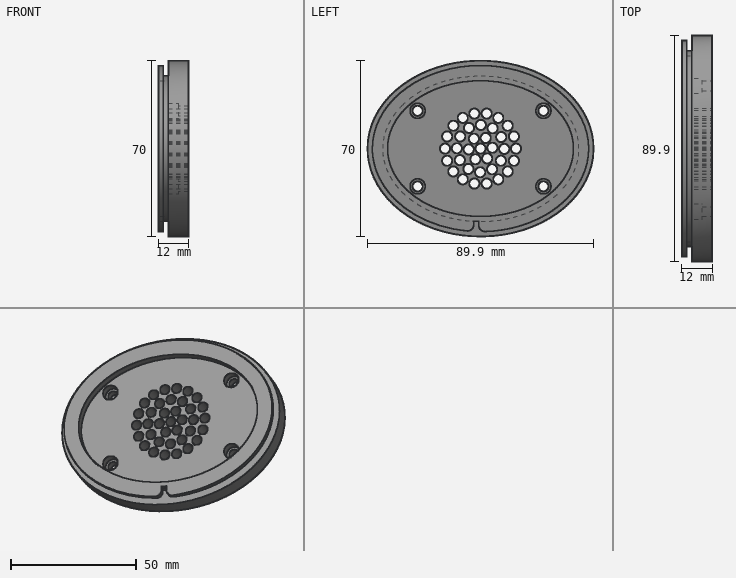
import cadquery as cq
import math

body_width = 89.9
body_height = 70.0

flange_inset = 2.0
neck_inset = 6.0
pocket_inset = 8.0

flange_thickness = 2.0
groove_width = 2.0
body_thickness = 8.0
total_thickness = flange_thickness + groove_width + body_thickness
pocket_depth = 4.0

screw_diameter = 4.0
counterbore_diameter = 6.0
counterbore_depth = 4.0
screw_spacing_y = 50.0
screw_spacing_z = 30.0

vent_diameter = 4.0
vent_pitch = 4.7
vent_rings = [
    (1, 0, 0),
    (6, vent_pitch, -4),
    (12, 2 * vent_pitch, 0.8),
    (18, 3 * vent_pitch, 0),
]

notch_width = 2.0
notch_center_y = 1.7
notch_top_z = -28.8
notch_mouth_radius = 2.5


def elliptic_disc(inset, start_x, thickness):
    """Disc whose outline is the body ellipse moved inward by inset."""
    return (
        cq.Workplane("YZ", origin=(start_x, 0, 0))
        .ellipse(body_width / 2 - inset, body_height / 2 - inset)
        .extrude(thickness)
    )


def holes(points, diameter, start_x, depth):
    """Cylinders along X used to cut holes at the given (Y, Z) points."""
    return (
        cq.Workplane("YZ", origin=(start_x, 0, 0))
        .pushPoints(points)
        .circle(diameter / 2)
        .extrude(depth)
    )


def vent_points():
    points = []
    for count, radius, start_angle in vent_rings:
        for index in range(count):
            angle = math.radians(start_angle + 360 * index / count)
            points.append((radius * math.cos(angle), radius * math.sin(angle)))
    return points


def notched_flange():
    flange = elliptic_disc(flange_inset, 0, flange_thickness)
    notch_height = body_height / 2 + notch_top_z
    notch = cq.Workplane("XY").box(
        flange_thickness, notch_width, notch_height, centered=(False, True, False)
    ).translate((0, notch_center_y, -body_height / 2))
    mouth_corners = cq.selectors.BoxSelector(
        (flange_thickness / 4, notch_center_y - notch_width, -body_height / 2),
        (flange_thickness * 3 / 4, notch_center_y + notch_width, notch_top_z - notch_width),
    )
    return flange.cut(notch).edges(mouth_corners).fillet(notch_mouth_radius)


neck = elliptic_disc(neck_inset, flange_thickness, groove_width)
body = elliptic_disc(0, flange_thickness + groove_width, body_thickness)
result = body.union(neck).union(notched_flange())

result = result.cut(elliptic_disc(pocket_inset, 0, pocket_depth))
result = result.cut(holes(vent_points(), vent_diameter, 0, total_thickness))

screw_points = [
    (side_y * screw_spacing_y / 2, side_z * screw_spacing_z / 2)
    for side_y in (-1, 1)
    for side_z in (-1, 1)
]
result = result.cut(holes(screw_points, screw_diameter, 0, total_thickness))
result = result.cut(holes(screw_points, counterbore_diameter, pocket_depth, counterbore_depth))